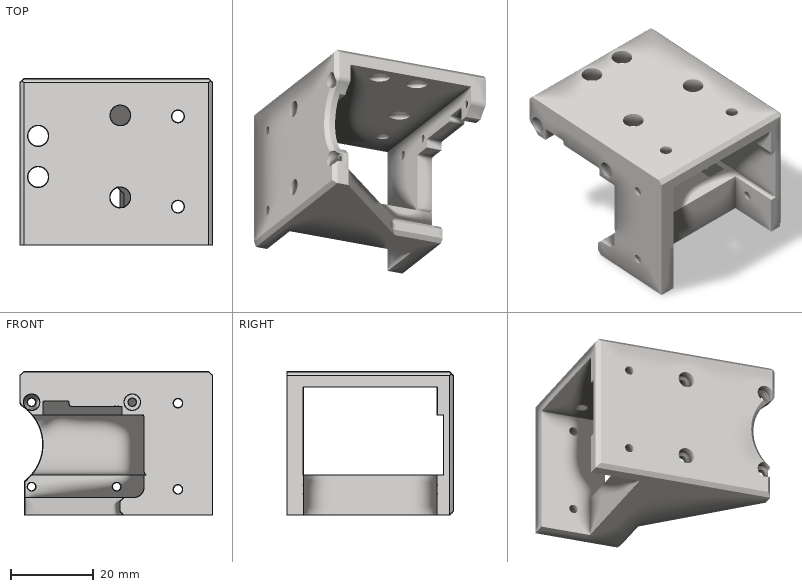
import cadquery as cq
import math

LENGTH = 46.9
DEPTH = 40.5
HEIGHT = 34.95
CHAMFER = 1.0
OVERCUT = 0.45

WALL = 4.0
ROOF_THICKNESS = 3.75
ROOF_BOTTOM = HEIGHT - ROOF_THICKNESS
BACK_INNER = DEPTH - WALL
LOWER_LEFT = 1.15

TRAY_TOP = 4.3
SILL_TOP = 9.8
SILL_LEFT = 30.2
SILL_RIGHT = SILL_LEFT + WALL
SILL_FILLET = 2.5
LIP_LEFT = 24.35
LIP_DEPTH = 13.45

RECESS_DEPTH = 1.5
RECESS_TOP = 24.35

WINDOW_LEFT = 5.6
WINDOW_STEP = 12.0
WINDOW_LOW_STEP = 24.9
WINDOW_HIGH = 27.75
WINDOW_MIDDLE = 26.5
WINDOW_FILLET = 0.5
RELIEF_WIDTH = 0.45
RELIEF_HEIGHT = 1.1

SCREW_DIAMETER = 2.0
SCREW_HEAD_DIAMETER = 4.0
SCREW_HEAD_DEPTH = 2.5
SCREW_X = 2.85
SCREW_PITCH_X = 20.7
FRONT_SCREW_PITCH_X = 24.5
SCREW_LOW_Z = 6.95
SCREW_PITCH_Z = 20.55
SCREW_HIGH_Z = SCREW_LOW_Z + SCREW_PITCH_Z

SCALLOP_RADIUS = 11.25
SCALLOP_REACH = 5.6
SCALLOP_CENTRE_X = SCALLOP_REACH - SCALLOP_RADIUS
SCALLOP_Z = (SCREW_LOW_Z + SCREW_HIGH_Z) / 2
SCALLOP_UPPER_FILLET = 1.5

CROSS_DIAMETER = 2.2
CROSS_X = 38.45
CROSS_Z = (6.3, 27.25)

ROOF_HOLE_DIAMETER = 5.0
ROOF_HOLES = ((4.45, 16.6), (4.45, 26.6), (24.45, 11.65), (24.45, 31.55))
MOUNT_DIAMETER = 3.0
MOUNT_HOLES = ((CROSS_X, 9.4), (CROSS_X, 31.3))


def box(x0, x1, y0, y1, z0, z1):
    """Box between two limits on each axis."""
    corner = (x0, y0, z0)
    return cq.Workplane("XY").box(x1 - x0, y1 - y0, z1 - z0, centered=False).translate(corner)


def bore(x, z, diameter, y0, y1):
    """Cylinder along Y between two depths."""
    return cq.Workplane("XZ", origin=(x, y0, z)).circle(diameter / 2).extrude(y0 - y1)


def make_outer_block():
    """Solid block with the scalloped left end and chamfered roof and back edges."""
    high_end = SCALLOP_Z + math.sqrt(SCALLOP_RADIUS**2 - SCALLOP_CENTRE_X**2)
    low_end = SCALLOP_Z - math.sqrt(SCALLOP_RADIUS**2 - (LOWER_LEFT - SCALLOP_CENTRE_X)**2)
    block = (
        cq.Workplane("XZ")
        .moveTo(LOWER_LEFT, 0)
        .lineTo(LOWER_LEFT, low_end)
        .threePointArc((SCALLOP_REACH, SCALLOP_Z), (0, high_end))
        .lineTo(0, HEIGHT)
        .lineTo(LENGTH, HEIGHT)
        .lineTo(LENGTH, 0)
        .close()
        .extrude(-DEPTH)
    )
    upper_corner = cq.selectors.NearestToPointSelector((0, DEPTH / 2, high_end))
    block = block.edges("|Y").edges(upper_corner).fillet(SCALLOP_UPPER_FILLET)
    block = block.faces(">Y").chamfer(CHAMFER)
    return block.faces(">Z").edges("|Y").chamfer(CHAMFER)


def make_inside():
    """Space under the roof, between the walls and around the sill."""
    left = -OVERCUT
    right = LENGTH + OVERCUT
    above_sill = box(left, right, WALL, BACK_INNER, SILL_TOP, ROOF_BOTTOM)
    behind_sill = box(SILL_RIGHT, right, WALL, BACK_INNER, -OVERCUT, SILL_TOP)
    above_tray = box(left, SILL_LEFT, -OVERCUT, BACK_INNER, TRAY_TOP, SILL_TOP)
    above_tray = above_tray.edges("|Y and >X and <Z").fillet(SILL_FILLET)
    recess = box(left, right, BACK_INNER, BACK_INNER + RECESS_DEPTH, SILL_TOP, RECESS_TOP)
    return above_sill.union(behind_sill).union(above_tray).union(recess)


def make_window():
    """Opening in the front wall above the tray, open to the left below the corner boss."""
    rounded_corners = (
        (WINDOW_LEFT, WINDOW_HIGH),
        (WINDOW_STEP, WINDOW_HIGH),
        (WINDOW_STEP, WINDOW_MIDDLE),
        (WINDOW_LOW_STEP, WINDOW_MIDDLE),
        (SILL_LEFT, RECESS_TOP),
    )
    window = (
        cq.Workplane("XZ", origin=(0, -OVERCUT, 0))
        .moveTo(SILL_LEFT + RELIEF_WIDTH, SILL_TOP)
        .lineTo(WINDOW_LEFT, SILL_TOP)
        .lineTo(WINDOW_LEFT, WINDOW_HIGH)
        .lineTo(WINDOW_STEP, WINDOW_HIGH)
        .lineTo(WINDOW_STEP, WINDOW_MIDDLE)
        .lineTo(WINDOW_LOW_STEP, WINDOW_MIDDLE)
        .lineTo(WINDOW_LOW_STEP, RECESS_TOP)
        .lineTo(SILL_LEFT, RECESS_TOP)
        .lineTo(SILL_LEFT, SILL_TOP + RELIEF_HEIGHT)
        .tangentArcPoint((RELIEF_WIDTH, -RELIEF_HEIGHT))
        .close()
        .extrude(-(WALL + 2 * OVERCUT))
    )
    for x, z in rounded_corners:
        corner = cq.selectors.NearestToPointSelector((x, WALL / 2, z))
        window = window.edges("|Y").edges(corner).fillet(WINDOW_FILLET)
    below_boss = box(-OVERCUT, WINDOW_LEFT, -OVERCUT, WALL + OVERCUT, SILL_TOP, RECESS_TOP)
    return window.union(below_boss)


def make_tray_cutoff():
    """Triangle removed from the front left of the tray, leaving a chamfered lip on its right."""
    leg = LIP_LEFT + LIP_DEPTH + OVERCUT
    corner = (
        cq.Workplane("XY", origin=(0, 0, -OVERCUT))
        .polyline([(-OVERCUT, -OVERCUT), (leg, -OVERCUT), (-OVERCUT, leg)])
        .close()
        .extrude(TRAY_TOP + OVERCUT)
    )
    in_front_of_back_wall = box(-OVERCUT, LENGTH, -OVERCUT, BACK_INNER, -OVERCUT, HEIGHT)
    lip = box(LIP_LEFT, LENGTH, -OVERCUT, DEPTH, 0, TRAY_TOP).edges("|Y and <X").chamfer(CHAMFER)
    return corner.intersect(in_front_of_back_wall).cut(lip)


def make_screw_holes():
    """Counterbored holes of both walls; those at the upper left end in a cone."""
    back_seat = DEPTH - SCREW_HEAD_DEPTH
    holes = cq.Workplane("XY")
    for x in (SCREW_X, SCREW_X + SCREW_PITCH_X):
        for z in (SCREW_LOW_Z, SCREW_HIGH_Z):
            holes = holes.add(bore(x, z, SCREW_DIAMETER, BACK_INNER - OVERCUT, DEPTH))
            holes = holes.add(bore(x, z, SCREW_HEAD_DIAMETER, back_seat, DEPTH + OVERCUT))
    for x in (SCREW_X, SCREW_X + FRONT_SCREW_PITCH_X):
        holes = holes.add(bore(x, SCREW_HIGH_Z, SCREW_DIAMETER, 0, WALL + OVERCUT))
        holes = holes.add(bore(x, SCREW_HIGH_Z, SCREW_HEAD_DIAMETER, -OVERCUT, SCREW_HEAD_DEPTH))

    head_radius = SCREW_HEAD_DIAMETER / 2
    hole_radius = SCREW_DIAMETER / 2
    for seat_y, inward in ((SCREW_HEAD_DEPTH, 1), (back_seat, -1)):
        seat_centre = cq.Vector(SCREW_X, seat_y, SCREW_HIGH_Z)
        cone = cq.Solid.makeCone(
            head_radius, hole_radius, head_radius - hole_radius, seat_centre, cq.Vector(0, inward, 0)
        )
        holes = holes.add(cone)
    return holes.combine()


def make_cross_holes():
    """Holes along Y through the front and back walls."""
    holes = cq.Workplane("XY")
    for z in CROSS_Z:
        holes = holes.add(bore(CROSS_X, z, CROSS_DIAMETER, -OVERCUT, DEPTH + OVERCUT))
    return holes.combine()


def make_roof_holes(places, diameter):
    """Vertical holes through the roof."""
    base = cq.Workplane("XY", origin=(0, 0, ROOF_BOTTOM - OVERCUT))
    return base.pushPoints(places).circle(diameter / 2).extrude(ROOF_THICKNESS + 2 * OVERCUT)


result = (
    make_outer_block()
    .cut(make_inside())
    .cut(make_window())
    .cut(make_tray_cutoff())
    .cut(make_screw_holes())
    .cut(make_cross_holes())
    .cut(make_roof_holes(ROOF_HOLES, ROOF_HOLE_DIAMETER))
    .cut(make_roof_holes(MOUNT_HOLES, MOUNT_DIAMETER))
    .solids()
)